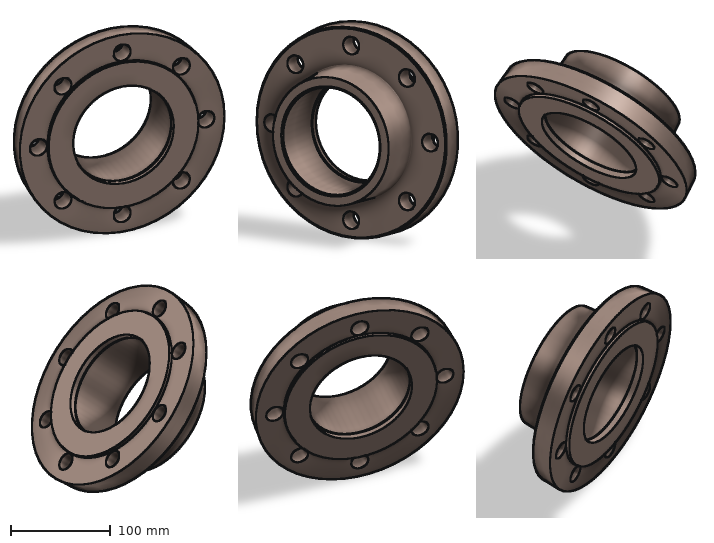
import cadquery as cq
import math

total_length = 69.0
raised_face_height = 3.7
plate_thickness = 22.5
lip_length = 7.7

plate_diameter = 220.0
plate_draft_angle = 4.0
plate_edge_chamfer = 1.3

raised_face_diameter = 161.0

neck_end_diameter = 132.0
neck_foot_diameter = 138.2
neck_foot_fillet = 0.9

bore_diameter = 110.0
lip_diameter = 108.0
mouth_bevel = 1.5

hole_count = 8
hole_diameter = 18.0
bolt_circle_diameter = 180.0

plate_front_x = total_length - raised_face_height
plate_back_x = plate_front_x - plate_thickness
lip_start_x = total_length - lip_length


def make_body():
    """Revolve the solid outer shape: neck, drafted plate and raised face."""
    plate_front_radius = plate_diameter / 2
    draft = math.tan(math.radians(plate_draft_angle))
    chamfer_start_x = plate_back_x + plate_edge_chamfer
    chamfer_start_radius = plate_front_radius - (plate_front_x - chamfer_start_x) * draft
    foot_radius = neck_foot_diameter / 2
    half_profile = (
        cq.Workplane("XY")
        .moveTo(0, 0)
        .lineTo(0, neck_end_diameter / 2)
        .lineTo(plate_back_x - neck_foot_fillet, foot_radius)
        .radiusArc((plate_back_x, foot_radius + neck_foot_fillet), -neck_foot_fillet)
        .lineTo(plate_back_x, chamfer_start_radius - plate_edge_chamfer)
        .lineTo(chamfer_start_x, chamfer_start_radius)
        .lineTo(plate_front_x, plate_front_radius)
        .lineTo(plate_front_x, raised_face_diameter / 2)
        .lineTo(total_length, raised_face_diameter / 2)
        .lineTo(total_length, 0)
        .close()
    )
    return half_profile.revolve(360, (0, 0, 0), (1, 0, 0))


def make_bore():
    """Revolve the stepped bore with its bevelled mouth."""
    bore_radius = bore_diameter / 2
    lip_radius = lip_diameter / 2
    half_profile = (
        cq.Workplane("XY")
        .moveTo(0, 0)
        .lineTo(0, bore_radius + mouth_bevel)
        .lineTo(mouth_bevel, bore_radius)
        .lineTo(lip_start_x, bore_radius)
        .lineTo(lip_start_x, lip_radius)
        .lineTo(total_length, lip_radius)
        .lineTo(total_length, 0)
        .close()
    )
    return half_profile.revolve(360, (0, 0, 0), (1, 0, 0))


def make_bolt_holes():
    """Through holes evenly spaced on the bolt circle."""
    return (
        cq.Workplane("YZ")
        .polarArray(bolt_circle_diameter / 2, 0, 360, hole_count)
        .circle(hole_diameter / 2)
        .extrude(total_length)
    )


result = make_body().cut(make_bore()).cut(make_bolt_holes())